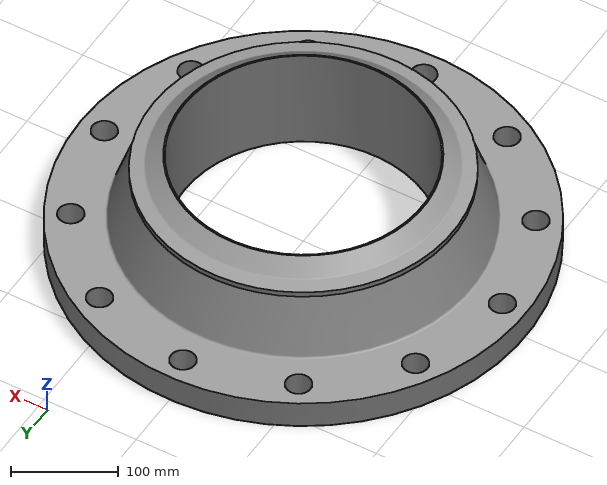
import cadquery as cq
import math


flange_diameter = 482.5
flange_top = 32.0
raised_face_diameter = 381.0
raised_face_height = 1.6

hub_base_diameter = 365.0
collar_diameter = 324.0
collar_bottom = 92.5
hub_root_fillet = 3.0

total_height = 114.5
bore_diameter = 257.0
root_land_width = 1.6
bevel_break_diameter = 295.5
steep_bevel_angle = 37.5
shallow_bevel_angle = 10.0
bevel_break_fillet = 3.0

bolt_count = 12
bolt_circle_diameter = 432.0
bolt_hole_diameter = 25.5

edge_tolerance = 0.25

flange_radius = flange_diameter / 2
raised_face_radius = raised_face_diameter / 2
hub_base_radius = hub_base_diameter / 2
collar_radius = collar_diameter / 2
bore_radius = bore_diameter / 2
land_radius = bore_radius + root_land_width
bevel_break_radius = bevel_break_diameter / 2


def bevel_drop(inner_radius, outer_radius, angle):
    """Height lost by a bevel running outward at an angle below horizontal."""
    return (outer_radius - inner_radius) * math.tan(math.radians(angle))


bevel_break_z = total_height - bevel_drop(land_radius, bevel_break_radius, steep_bevel_angle)
collar_top = bevel_break_z - bevel_drop(bevel_break_radius, collar_radius, shallow_bevel_angle)


def make_flange_disc():
    """Flange disc with the raised sealing face below it."""
    raised_face = cq.Workplane("XY").circle(raised_face_radius).extrude(raised_face_height)
    disc = (
        cq.Workplane("XY")
        .workplane(offset=raised_face_height)
        .circle(flange_radius)
        .extrude(flange_top - raised_face_height)
    )
    return disc.union(raised_face)


def make_hub():
    """Tapered hub with collar and weld bevel, solid through the middle."""
    return (
        cq.Workplane("XZ")
        .moveTo(0, flange_top)
        .lineTo(hub_base_radius, flange_top)
        .lineTo(collar_radius, collar_bottom)
        .lineTo(collar_radius, collar_top)
        .lineTo(bevel_break_radius, bevel_break_z)
        .lineTo(land_radius, total_height)
        .lineTo(0, total_height)
        .close()
        .revolve(360, (0, 0, 0), (0, 1, 0))
    )


def fillet_inside_corner(body, corner_radius, corner_z, fillet_radius):
    """Round the circular inside corner of the given radius at height corner_z."""
    reach = corner_radius + fillet_radius
    corner_zone = cq.selectors.BoxSelector(
        (-reach, -reach, corner_z - edge_tolerance),
        (reach, reach, corner_z + edge_tolerance),
        boundingbox=True,
    )
    return body.edges(corner_zone).fillet(fillet_radius)


def make_bolt_holes():
    """Cutters for the bolt holes, with one hole on the X axis."""
    return (
        cq.Workplane("XY")
        .polarArray(bolt_circle_diameter / 2, 0, 360, bolt_count)
        .circle(bolt_hole_diameter / 2)
        .extrude(flange_top)
    )


def make_bore():
    """Cutter for the through bore."""
    return cq.Workplane("XY").circle(bore_radius).extrude(total_height)


body = make_flange_disc().union(make_hub())
body = fillet_inside_corner(body, hub_base_radius, flange_top, hub_root_fillet)
body = fillet_inside_corner(body, bevel_break_radius, bevel_break_z, bevel_break_fillet)
result = body.cut(make_bore()).cut(make_bolt_holes())